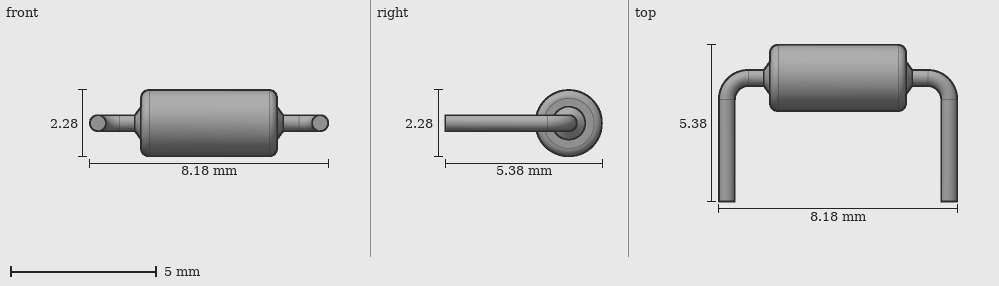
import cadquery as cq

overall_span = 8.18
overall_depth = 5.38

body_diameter = 2.28
body_length = 4.67
body_edge_radius = 0.28

collar_base_radius = 0.565
collar_length = 0.205

lead_diameter = 0.56
bend_radius = 0.74

body_radius = body_diameter / 2
body_end = body_length / 2
lead_radius = lead_diameter / 2
leg_x = (overall_span - lead_diameter) / 2
leg_tip_y = body_radius - overall_depth


def make_body():
    """Cylinder with rounded end edges."""
    cylinder = cq.Workplane("YZ", origin=(-body_end, 0, 0)).circle(body_radius).extrude(body_length)
    return cylinder.edges().fillet(body_edge_radius)


def make_collar():
    """Cone on the +X end of the body, narrowing to the lead."""
    return (
        cq.Workplane("XY")
        .moveTo(body_end, 0)
        .lineTo(body_end, collar_base_radius)
        .lineTo(body_end + collar_length, lead_radius)
        .lineTo(body_end + collar_length, 0)
        .close()
        .revolve(360, (0, 0, 0), (1, 0, 0))
    )


def make_lead():
    """Wire from the body's centre along +X, bent a quarter turn to run along -Y."""
    path = (
        cq.Workplane("XY")
        .lineTo(leg_x - bend_radius, 0)
        .tangentArcPoint((leg_x, -bend_radius), relative=False)
        .lineTo(leg_x, leg_tip_y)
    )
    return cq.Workplane("YZ").circle(lead_radius).sweep(path)


end_fitting = make_collar().union(make_lead())
result = make_body().union(end_fitting).union(end_fitting.mirror("YZ"))